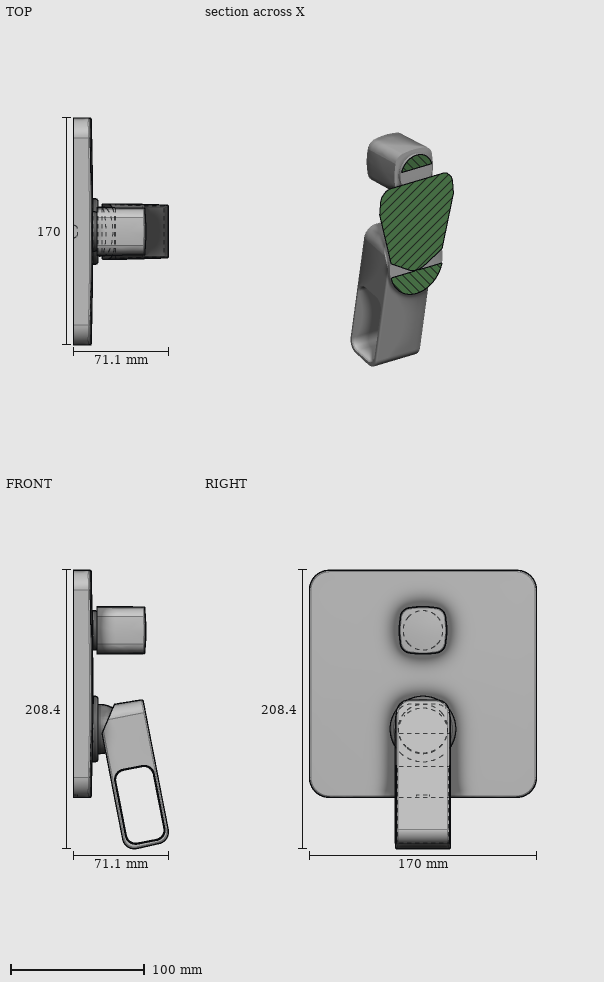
import cadquery as cq
import math

PLATE_SIZE = 170.0
PLATE_CORNER_R = 15.0
PLATE_DEPTH = 14.7
CROWN_R = 2600.0
PLATE_EDGE_R = 1.2
NOTCH_WIDTH = 9.5
NOTCH_HEIGHT = 2.0
NOTCH_DEPTH = 3.0

KNOB_Z = 40.0
COLLAR_R = 14.8
COLLAR_FRONT_X = 17.6
COLLAR_EDGE_R = 1.5
KNOB_LENGTH = 36.7
KNOB_HALF_WIDTH = 17.9
KNOB_SIDE_R = 60.0
KNOB_FLANK_HALF = 10.4
KNOB_DRAFT = 0.5
KNOB_CROWN_R = 160.0
KNOB_EDGE_R = 0.8

MIXER_Z = -33.8
ESCUTCHEON_R = 24.6
ESCUTCHEON_FRONT_X = 18.5
ESCUTCHEON_EDGE_R = 2.5
CAP_R = 18.5
CAP_DOME_X = 19.7

LEAN = 11.0
HANDLE_BACK = 13.9
HANDLE_FRONT = 48.8
HANDLE_TOP = -20.4
HANDLE_BOTTOM = -130.3
HANDLE_WIDTH = 41.6
HANDLE_DRAFT = 1.7
HANDLE_TOP_R = 10.8
HANDLE_END_R = 9.0
HANDLE_EDGE_R = 1.3
BEVEL_START_UP = -40.5
BEVEL_ANGLE = 34.0
WINDOW_BACK = 17.2
WINDOW_FRONT = 45.7
WINDOW_TOP = -70.6
WINDOW_BOTTOM = -126.0
WINDOW_R = 7.0
WINDOW_CHAMFER = 0.8

BASE_X = PLATE_DEPTH / 2


def yz_plane(x, z=0.0):
    """Sketch plane facing outward: local x is Y, local y is Z."""
    return cq.Workplane(cq.Plane((x, 0, z), (0, 1, 0), (1, 0, 0)))


def make_plate():
    """Rounded square, crowned by a large sphere, with a round-cornered notch at the bottom."""
    blank = yz_plane(0).rect(PLATE_SIZE, PLATE_SIZE).extrude(PLATE_DEPTH)
    blank = blank.edges("|X").fillet(PLATE_CORNER_R)
    crown = cq.Workplane("XY").sphere(CROWN_R).translate((PLATE_DEPTH - CROWN_R, 0, 0))
    body = blank.intersect(crown).faces(">X").edges().fillet(PLATE_EDGE_R)
    notch = (
        cq.Workplane("XY", origin=(0, 0, -PLATE_SIZE / 2))
        .rect(2 * NOTCH_DEPTH, NOTCH_WIDTH)
        .extrude(NOTCH_HEIGHT)
        .edges("|Z and >X")
        .fillet(NOTCH_DEPTH)
    )
    return body.cut(notch)


def make_ring(radius, front_x, edge_r, z):
    """Disc with a rounded front rim, used for the knob collar and the escutcheon."""
    disc = yz_plane(BASE_X, z).circle(radius).extrude(front_x - BASE_X)
    return disc.faces(">X").edges().fillet(edge_r)


def knob_outline(plane):
    """Square with bowed sides and round corners, tangent to each other."""
    half = KNOB_FLANK_HALF
    tilt = math.asin(half / KNOB_SIDE_R)
    edge = KNOB_HALF_WIDTH - KNOB_SIDE_R * (1 - math.cos(tilt))
    corner_r = (edge - half) / (math.cos(tilt) - math.sin(tilt))
    corner_mid = half - corner_r * math.sin(tilt) + corner_r / math.sqrt(2)
    wide = KNOB_HALF_WIDTH
    return (
        plane.moveTo(edge, -half)
        .threePointArc((wide, 0), (edge, half))
        .threePointArc((corner_mid, corner_mid), (half, edge))
        .threePointArc((0, wide), (-half, edge))
        .threePointArc((-corner_mid, corner_mid), (-edge, half))
        .threePointArc((-wide, 0), (-edge, -half))
        .threePointArc((-corner_mid, -corner_mid), (-half, -edge))
        .threePointArc((0, -wide), (half, -edge))
        .threePointArc((corner_mid, -corner_mid), (edge, -half))
        .close()
    )


def make_knob():
    """Slightly tapered knob with a crowned front."""
    blank = knob_outline(yz_plane(COLLAR_FRONT_X, KNOB_Z)).extrude(KNOB_LENGTH, taper=KNOB_DRAFT)
    crown_x = COLLAR_FRONT_X + KNOB_LENGTH - KNOB_CROWN_R
    crown = cq.Workplane("XY").sphere(KNOB_CROWN_R).translate((crown_x, 0, KNOB_Z))
    return blank.intersect(crown).faces(">X").edges().fillet(KNOB_EDGE_R)


def make_cap():
    """Short cylinder ending in a hemisphere."""
    barrel_length = CAP_DOME_X - ESCUTCHEON_FRONT_X
    barrel = yz_plane(ESCUTCHEON_FRONT_X, MIXER_Z).circle(CAP_R).extrude(barrel_length)
    dome = cq.Workplane("XY").sphere(CAP_R).translate((CAP_DOME_X, 0, MIXER_Z))
    front_half = yz_plane(CAP_DOME_X, MIXER_Z).circle(CAP_R).extrude(CAP_R)
    return barrel.union(dome.intersect(front_half))


def make_handle():
    """Leaning lever: a drafted block, bevelled towards the cap, with a window through its lower half."""
    lean = math.radians(LEAN)
    out = cq.Vector(math.cos(lean), 0, math.sin(lean))
    width_plane = cq.Plane(out * HANDLE_BACK, (0, 1, 0), out)
    side_plane = cq.Plane((0, 0, 0), out, (0, -1, 0))

    height = HANDLE_TOP - HANDLE_BOTTOM
    depth = HANDLE_FRONT - HANDLE_BACK
    block = (
        cq.Workplane(width_plane)
        .center(0, (HANDLE_TOP + HANDLE_BOTTOM) / 2)
        .sketch()
        .rect(HANDLE_WIDTH, height)
        .vertices(">Y")
        .fillet(HANDLE_TOP_R)
        .finalize()
        .extrude(depth, taper=HANDLE_DRAFT)
    )

    bevel_rise = HANDLE_TOP - BEVEL_START_UP
    bevel = (
        cq.Workplane(side_plane)
        .moveTo(HANDLE_BACK, BEVEL_START_UP)
        .line(bevel_rise * math.tan(math.radians(BEVEL_ANGLE)), bevel_rise)
        .lineTo(HANDLE_BACK, HANDLE_TOP)
        .close()
        .extrude(HANDLE_WIDTH, both=True)
    )
    window = (
        cq.Workplane(side_plane)
        .center((WINDOW_BACK + WINDOW_FRONT) / 2, (WINDOW_TOP + WINDOW_BOTTOM) / 2)
        .rect(WINDOW_FRONT - WINDOW_BACK, WINDOW_TOP - WINDOW_BOTTOM)
        .extrude(HANDLE_WIDTH, both=True)
        .edges("|Y")
        .fillet(WINDOW_R)
    )

    bottom_face = cq.selectors.DirectionMinMaxSelector(side_plane.yDir, False)
    front_face = cq.selectors.DirectionMinMaxSelector(out, True)
    body = block.faces(bottom_face).edges("|Y").fillet(HANDLE_END_R)
    body = body.faces(front_face).edges().fillet(HANDLE_EDGE_R)
    body = body.cut(bevel).cut(window)

    rims = [edge for face in body.faces().vals() for wire in face.innerWires() for edge in wire.Edges()]
    return body.newObject(rims).chamfer(WINDOW_CHAMFER)


plate = make_plate()
collar = make_ring(COLLAR_R, COLLAR_FRONT_X, COLLAR_EDGE_R, KNOB_Z).cut(plate)
escutcheon = make_ring(ESCUTCHEON_R, ESCUTCHEON_FRONT_X, ESCUTCHEON_EDGE_R, MIXER_Z).cut(plate)
knob = make_knob()
handle = make_handle()
cap = make_cap().cut(handle)

result = cq.Compound.makeCompound(
    [plate.val(), collar.val(), knob.val(), escutcheon.val(), cap.val(), handle.val()]
)